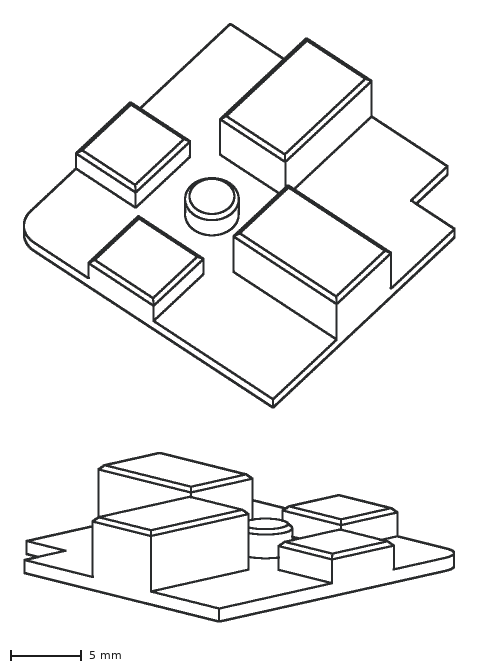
import cadquery as cq

side = 24.0
plate_thickness = 0.95
notch_size = 4.0
corner_radius = 2.0

center = 10.0
block_width = 6.0
tall_length = 9.5
tall_top = 5.3
low_length = 5.5
low_top = 3.0
pin_diameter = 3.8
pin_top = 3.0
edge_chamfer = 0.3


def make_plate():
    """Square plate with one rounded corner and a square notch opposite it."""
    plate = cq.Workplane("XY").box(side, side, plate_thickness, centered=False)
    plate = plate.edges("|Z and <X and <Y").fillet(corner_radius)
    notch_start = side - notch_size
    notch = (
        cq.Workplane("XY")
        .box(notch_size, notch_size, plate_thickness, centered=False)
        .translate((notch_start, notch_start, 0))
    )
    return plate.cut(notch)


def make_block(x_start, y_start, x_length, y_length, top):
    """Block standing on the plate, chamfered around its top face."""
    return (
        cq.Workplane("XY")
        .box(x_length, y_length, top - plate_thickness, centered=False)
        .faces(">Z")
        .chamfer(edge_chamfer)
        .translate((x_start, y_start, plate_thickness))
    )


def make_pin():
    """Round pin at the common centre, chamfered around its top face."""
    return (
        cq.Workplane("XY", origin=(center, center, plate_thickness))
        .circle(pin_diameter / 2)
        .extrude(pin_top - plate_thickness)
        .faces(">Z")
        .chamfer(edge_chamfer)
    )


block_start = center - block_width / 2
tall_start = side - tall_length

result = make_plate().union(make_pin())

result = result.union(make_block(0, block_start, low_length, block_width, low_top))
result = result.union(make_block(block_start, 0, block_width, low_length, low_top))

result = result.union(make_block(tall_start, block_start, tall_length, block_width, tall_top))
result = result.union(make_block(block_start, tall_start, block_width, tall_length, tall_top))